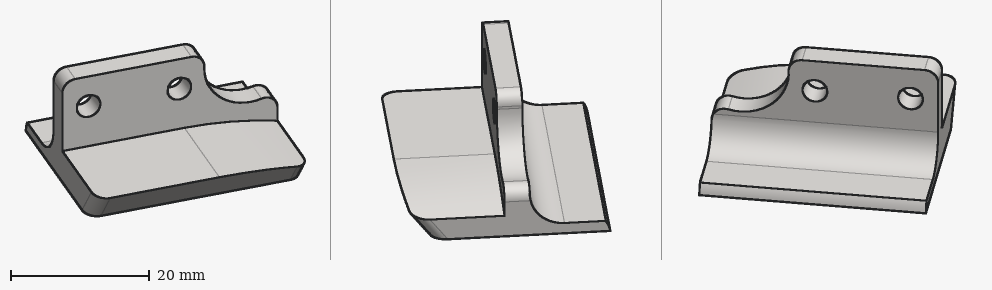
import cadquery as cq
import math

length_x = 29.95
width_y = 33.0
height_z = 17.0

lip_height = 1.75
lip_setback = 0.65
lip_edge_mid_x = 0.23
wall_left_x = 11.62
wall_thickness = 3.7
wall_right_x = wall_left_x + wall_thickness
cove_radius = 5.0
plate_height = 5.28
plate_undercut = 3.95

corner_radius = 1.98
crown_start_y = 18.72
crown_radius = 57.77
shoulder_y = 21.8
notch_radius = 7.1
notch_floor_z = 7.53
hole_diameter = 3.6
hole_z = 12.0
hole_positions_y = (4.03, 17.95)


def make_body():
    """Constant section along Y: lip, cove, upright wall and undercut plate."""
    cove_top_z = lip_height + cove_radius
    cove_mid_x = wall_left_x - cove_radius * (1 - math.sqrt(0.5))
    cove_mid_z = cove_top_z - cove_radius * math.sqrt(0.5)
    body = (
        cq.Workplane("XZ")
        .moveTo(0, 0)
        .threePointArc((lip_edge_mid_x, lip_height / 2), (lip_setback, lip_height))
        .lineTo(wall_left_x - cove_radius, lip_height)
        .threePointArc((cove_mid_x, cove_mid_z), (wall_left_x, cove_top_z))
        .lineTo(wall_left_x, height_z)
        .lineTo(wall_right_x, height_z)
        .lineTo(wall_right_x, plate_height)
        .lineTo(length_x, plate_height)
        .lineTo(length_x - plate_undercut, 0)
        .close()
        .extrude(-width_y)
    )
    sloping_direction = cq.Vector(plate_undercut, 0, plate_height)
    return body.edges(cq.selectors.ParallelDirSelector(sloping_direction)).fillet(corner_radius)


def make_crown_cutter():
    """Material above the plate that curves gently down towards +Y."""
    def crown_z(y):
        return plate_height - crown_radius + math.sqrt(crown_radius**2 - (y - crown_start_y) ** 2)

    middle_y = (crown_start_y + width_y) / 2
    return (
        cq.Workplane("YZ", origin=(wall_right_x, 0, 0))
        .moveTo(crown_start_y, plate_height)
        .threePointArc((middle_y, crown_z(middle_y)), (width_y, crown_z(width_y)))
        .lineTo(width_y, plate_height)
        .close()
        .extrude(length_x - wall_right_x)
    )


def make_side_envelope():
    """Side outline: rounded top corners and a notch blending into a rounded rear corner."""
    diagonal = corner_radius * math.sqrt(0.5)
    top_round_z = height_z - corner_radius
    notch_y = shoulder_y + notch_radius
    notch_z = notch_floor_z + notch_radius
    rear_y = width_y - corner_radius
    center_gap = notch_radius + corner_radius
    rear_z = notch_z - math.sqrt(center_gap**2 - (rear_y - notch_y) ** 2)
    blend_y = notch_y + (rear_y - notch_y) * notch_radius / center_gap
    blend_z = notch_z + (rear_z - notch_z) * notch_radius / center_gap
    notch_diagonal = notch_radius * math.sqrt(0.5)
    return (
        cq.Workplane("YZ")
        .moveTo(0, 0)
        .lineTo(0, top_round_z)
        .threePointArc((corner_radius - diagonal, top_round_z + diagonal), (corner_radius, height_z))
        .lineTo(shoulder_y - corner_radius, height_z)
        .threePointArc(
            (shoulder_y - corner_radius + diagonal, top_round_z + diagonal),
            (shoulder_y, top_round_z),
        )
        .lineTo(shoulder_y, notch_z)
        .threePointArc((notch_y - notch_diagonal, notch_z - notch_diagonal), (blend_y, blend_z))
        .threePointArc((rear_y + diagonal, rear_z + diagonal), (width_y, rear_z))
        .lineTo(width_y, 0)
        .close()
        .extrude(length_x)
    )


def make_holes():
    """Two round holes passing through the wall along X."""
    return (
        cq.Workplane("YZ", origin=(wall_left_x, 0, 0))
        .pushPoints([(y, hole_z) for y in hole_positions_y])
        .circle(hole_diameter / 2)
        .extrude(wall_thickness)
    )


result = (
    make_body()
    .cut(make_crown_cutter())
    .intersect(make_side_envelope())
    .cut(make_holes())
)